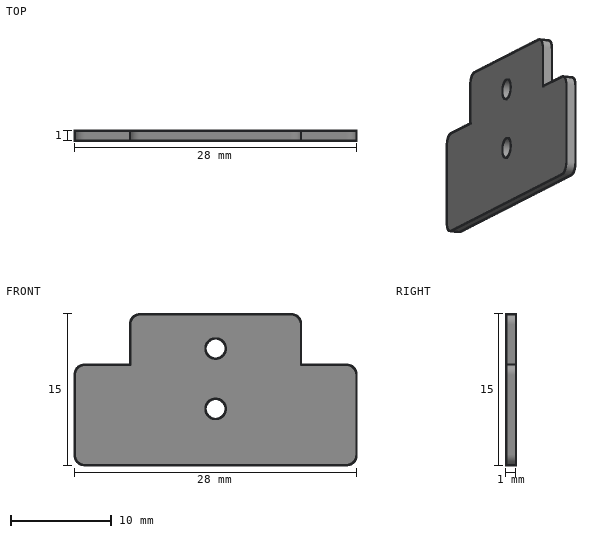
import cadquery as cq

width = 28.0
height = 15.0
thickness = 1.0
corner_radius = 1.0

shoulder_height = 10.0
tab_width = 17.0

hole_diameter = 2.0
lower_hole_height = 5.6
hole_spacing = 6.0


def rounded_plate(plate_width, plate_height, rounded_edges):
    """Plate standing on Z = 0, centred in X and Y, with rounded corners."""
    plate = cq.Workplane("XY").box(plate_width, thickness, plate_height, centered=(True, True, False))
    return plate.edges(rounded_edges).fillet(corner_radius)


lower_section = rounded_plate(width, shoulder_height, "|Y")
tab = rounded_plate(tab_width, height, "|Y and >Z")

hole_centres = [(0, lower_hole_height), (0, lower_hole_height + hole_spacing)]
holes = (
    cq.Workplane("XZ", origin=(0, thickness / 2, 0))
    .pushPoints(hole_centres)
    .circle(hole_diameter / 2)
    .extrude(thickness)
)

result = lower_section.union(tab, clean=True).cut(holes).clean()